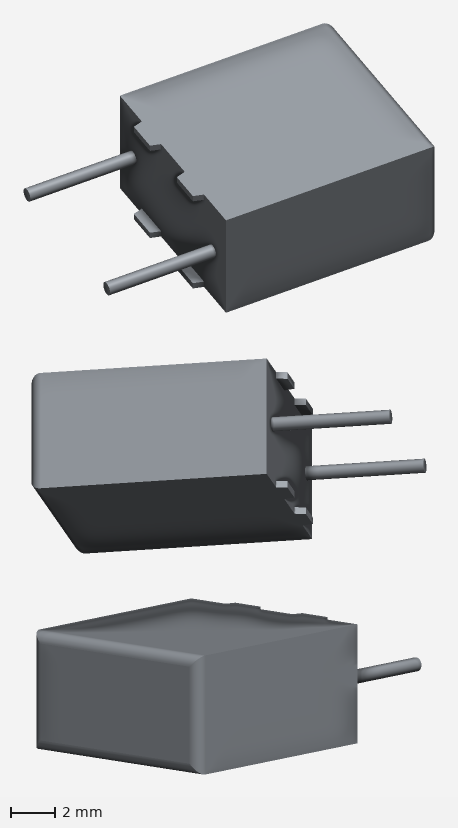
import cadquery as cq


overall_length = 16.5
housing_width = 10.0
housing_height = 5.5
lead_length = 5.5
housing_length = overall_length - lead_length
cap_radius = 0.51

foot_base_width = 1.82
foot_tip_width = 1.52
foot_length = 0.5
foot_thickness = 0.31
foot_pitch = 4.05

lead_diameter = 0.65
lead_pitch = 7.5


def make_housing_block():
    """Rectangular block whose far (+Y) face is rounded on all four edges."""
    block = cq.Workplane("XY").box(
        housing_width, housing_length, housing_height, centered=(True, False, True)
    )
    return block.faces(">Y").edges().fillet(cap_radius)


def make_foot(x_center, z_bottom):
    """Tapered foot standing on the seating face, narrowing toward its tip."""
    return (
        cq.Workplane("XY", origin=(x_center, 0, z_bottom))
        .moveTo(-foot_base_width / 2, 0)
        .lineTo(-foot_tip_width / 2, -foot_length)
        .lineTo(foot_tip_width / 2, -foot_length)
        .lineTo(foot_base_width / 2, 0)
        .close()
        .extrude(foot_thickness)
    )


def make_housing():
    """Block and its four feet, moulded as one solid."""
    housing = make_housing_block()
    lower_foot_z = -housing_height / 2
    upper_foot_z = housing_height / 2 - foot_thickness
    for x_center in (-foot_pitch / 2, foot_pitch / 2):
        for z_bottom in (lower_foot_z, upper_foot_z):
            housing = housing.union(make_foot(x_center, z_bottom))
    return housing


def make_lead(x_center):
    """Round wire that starts on the seating face and runs toward -Y."""
    return cq.Workplane("XZ", origin=(x_center, 0, 0)).circle(lead_diameter / 2).extrude(lead_length)


housing = make_housing()
leads = [make_lead(x_center) for x_center in (-lead_pitch / 2, lead_pitch / 2)]

result = cq.Compound.makeCompound([housing.val(), *[lead.val() for lead in leads]])